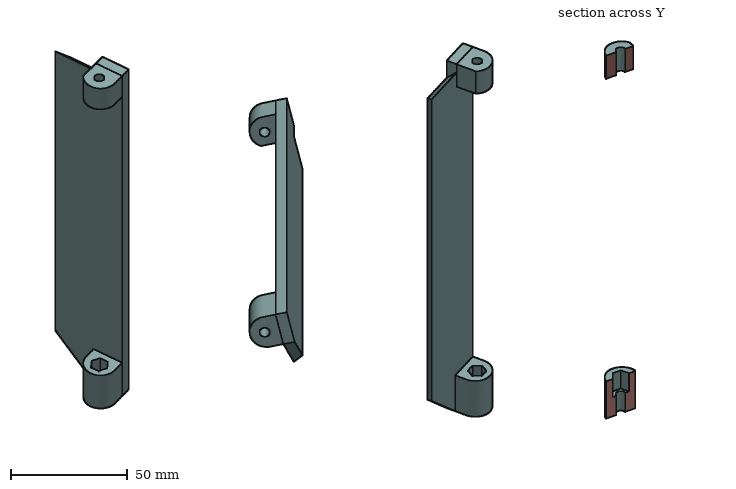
import cadquery as cq

width = 35.0
depth = 18.0
height = 191.2
plate_thickness = 5.0
plate_top_z = 186.6
bevel = plate_thickness
corner_height = 19.9

knuckle_width = 15.0
knuckle_radius = knuckle_width / 2
knuckle_height = corner_height
side_clearance = 1.1
upper_height = 12.5
center_x = width - knuckle_radius
arc_center_y = knuckle_radius
pin_y = 6.5
plate_front_y = depth - plate_thickness
upper_left_x = width - knuckle_width + side_clearance

pin_hole_diameter = 4.4
hex_across_corners = 8.0
hex_depth = 9.5
hex_sides = 6


def make_plate():
    """Plate with a cut lower corner, beveled left and top edges, and a tab behind the upper knuckle."""
    corner_run = width - knuckle_width
    blank = (
        cq.Workplane("XZ", origin=(0, depth, 0))
        .polyline([(0, corner_height), (corner_run, 0), (width, 0), (width, plate_top_z), (0, plate_top_z)])
        .close()
        .extrude(plate_thickness)
    )
    side_bevel = (
        cq.Workplane("XY")
        .polyline([(0, plate_front_y), (0, depth), (bevel, depth)])
        .close()
        .extrude(height)
    )
    top_bevel = (
        cq.Workplane("YZ")
        .polyline([(plate_front_y, plate_top_z), (depth, plate_top_z), (depth, plate_top_z - bevel)])
        .close()
        .extrude(width)
    )
    tab = cq.Workplane("XY").box(
        width - upper_left_x, plate_thickness, upper_height, centered=False
    ).translate((upper_left_x, plate_front_y, height - upper_height))
    return blank.cut(side_bevel).cut(top_bevel).union(tab)


def knuckle_blank(bottom_z, length):
    """Block with a half-round front, standing against the plate."""
    left_x = width - knuckle_width
    return (
        cq.Workplane("XY", origin=(0, 0, bottom_z))
        .moveTo(left_x, plate_front_y)
        .lineTo(left_x, arc_center_y)
        .threePointArc((center_x, 0), (width, arc_center_y))
        .lineTo(width, plate_front_y)
        .close()
        .extrude(length)
    )


def pin_hole(bottom_z, length):
    return cq.Workplane("XY", origin=(center_x, pin_y, bottom_z)).circle(pin_hole_diameter / 2).extrude(length)


def make_lower_knuckle():
    """Full-width knuckle with a hexagonal recess above its pin hole."""
    recess = (
        cq.Workplane("XY", origin=(center_x, pin_y, knuckle_height - hex_depth))
        .polygon(hex_sides, hex_across_corners)
        .extrude(hex_depth)
    )
    hole = pin_hole(0, knuckle_height)
    return knuckle_blank(0, knuckle_height).cut(recess).cut(hole)


def make_upper_knuckle():
    """Shorter knuckle, trimmed flat on its left side."""
    bottom_z = height - upper_height
    side_trim = cq.Workplane("XY").box(
        upper_left_x, depth, upper_height, centered=False
    ).translate((0, 0, bottom_z))
    hole = pin_hole(bottom_z, upper_height)
    return knuckle_blank(bottom_z, upper_height).cut(side_trim).cut(hole)


plate = make_plate()
lower_knuckle = make_lower_knuckle()
upper_knuckle = make_upper_knuckle()

result = cq.Compound.makeCompound([plate.val(), lower_knuckle.val(), upper_knuckle.val()])